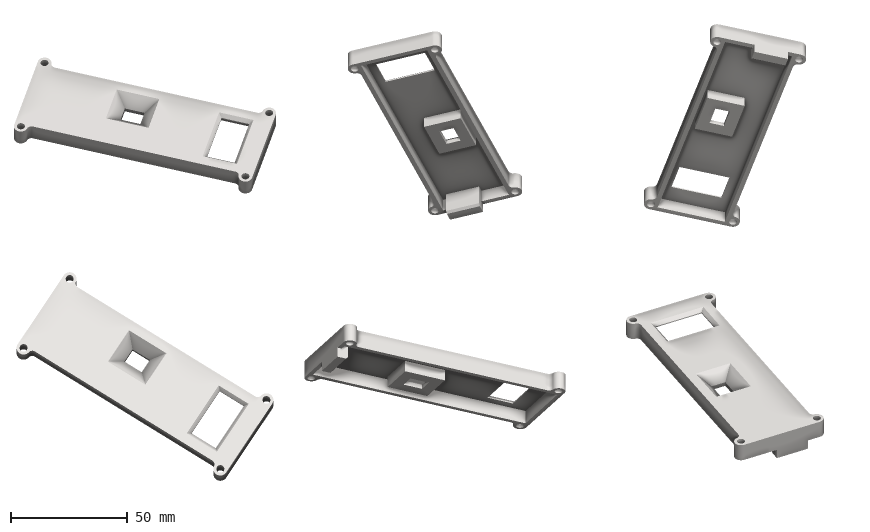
import cadquery as cq

LENGTH = 106.0
BOSS_SPAN = 42.5
BODY_WIDTH = 34.0
SHELL_HEIGHT = 8.0
WALL = 2.0
TOP_Z = SHELL_HEIGHT
SKIN_Z = TOP_Z - WALL

BOSS_RADIUS = 3.0
SCREW_HOLE_DIAMETER = 3.4
BOSS_FILLET = 2.0
BOSS_X = LENGTH / 2 - BOSS_RADIUS
BOSS_Y = BOSS_SPAN / 2 - BOSS_RADIUS
BOSS_POINTS = [(x, y) for x in (-BOSS_X, BOSS_X) for y in (-BOSS_Y, BOSS_Y)]

WINDOW_X = 37.0
WINDOW_LENGTH = 15.3
WINDOW_WIDTH = 25.3
WINDOW_BEVEL = 1.5

FUNNEL_X = -6.8
FUNNEL_Y = 4.3
FUNNEL_LENGTH = 19.0
FUNNEL_WIDTH = 16.6
FUNNEL_TAPER = 5.1
FUNNEL_BLOCK_CLEARANCE = 1.0

FOOT_LENGTH = 5.0
FOOT_WIDTH = 15.0
FOOT_Y = -5.0
FOOT_DROP = 4.3
FOOT_CHAMFER = 1.0


def block(length, width, bottom, top, x=0, y=0):
    """Upright box centred on (x, y), spanning bottom to top in Z."""
    return (
        cq.Workplane("XY", origin=(x, y, bottom))
        .rect(length, width)
        .extrude(top - bottom)
    )


def bevelled_opening(x, y, length, width, taper):
    """Cutter that narrows at 45 degrees from the top face, then runs straight down."""
    inner_length = length - 2 * taper
    inner_width = width - 2 * taper
    bevel = (
        cq.Workplane("XY", origin=(x, y, TOP_Z))
        .rect(length, width)
        .workplane(offset=-taper)
        .rect(inner_length, inner_width)
        .loft(ruled=True)
    )
    return bevel.union(block(inner_length, inner_width, 0, TOP_Z - taper, x, y))


def make_outer_body():
    """Plate with rounded corner bosses blended into its long sides."""
    body = block(LENGTH, BODY_WIDTH, 0, TOP_Z)
    for side in (-1, 1):
        end_x = side * (LENGTH - BOSS_RADIUS) / 2
        body = body.union(block(BOSS_RADIUS, 2 * BOSS_Y, 0, TOP_Z, end_x))
    bosses = cq.Workplane("XY").pushPoints(BOSS_POINTS).circle(BOSS_RADIUS).extrude(TOP_Z)
    body = body.union(bosses)

    corner_y = BODY_WIDTH / 2
    corner_x = BOSS_X - (BOSS_RADIUS**2 - (BOSS_Y - corner_y) ** 2) ** 0.5
    for x in (-corner_x, corner_x):
        for y in (-corner_y, corner_y):
            corner = cq.selectors.NearestToPointSelector((x, y, TOP_Z / 2))
            body = body.edges("|Z").edges(corner).fillet(BOSS_FILLET)
    return body


def make_foot():
    """Foot hanging from the skin along the -X end, chamfered on its inner bottom edge."""
    foot_x = (FOOT_LENGTH - LENGTH) / 2
    foot = block(FOOT_LENGTH, FOOT_WIDTH, -FOOT_DROP, SKIN_Z, foot_x, FOOT_Y)
    return foot.faces("<Z").edges(">X").chamfer(FOOT_CHAMFER)


cavity = block(LENGTH - 2 * WALL, BODY_WIDTH - 2 * WALL, 0, SKIN_Z)
funnel_block = block(
    FUNNEL_LENGTH, FUNNEL_WIDTH, FUNNEL_BLOCK_CLEARANCE, SKIN_Z, FUNNEL_X, FUNNEL_Y
)
screw_holes = cq.Workplane("XY").pushPoints(BOSS_POINTS).circle(SCREW_HOLE_DIAMETER / 2).extrude(TOP_Z)

result = (
    make_outer_body()
    .cut(cavity)
    .union(funnel_block)
    .union(make_foot())
    .cut(screw_holes)
    .cut(bevelled_opening(WINDOW_X, 0, WINDOW_LENGTH, WINDOW_WIDTH, WINDOW_BEVEL))
    .cut(bevelled_opening(FUNNEL_X, FUNNEL_Y, FUNNEL_LENGTH, FUNNEL_WIDTH, FUNNEL_TAPER))
)